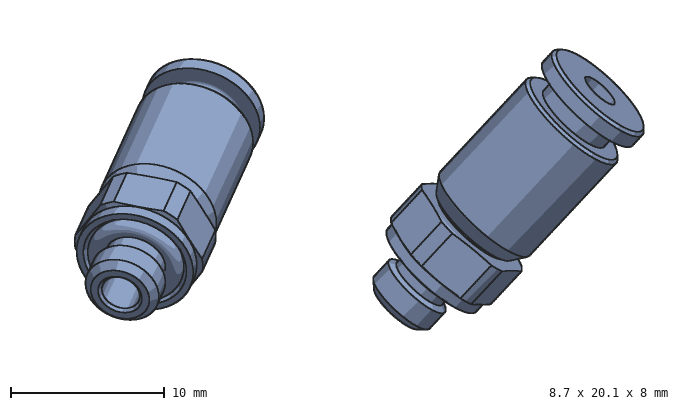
import cadquery as cq
import math

LENGTH = 20.1

THREAD_R = 2.5
TIP_CHAMFER = 0.5
THREAD_TOP = 2.0
NECK_R = 2.03
NECK_START = 2.25
BORE_R = 1.29
BORE_CHAMFER = 0.2

FLANGE_R = 3.95
FLANGE_START = 3.48
HEX_START = 4.3
HEX_END = 7.48
HEX_FLATS = 8.0
HEX_CORNER_R = 4.35
HEX_CORNER_CHAMFER = 0.06

SLEEVE_R = HEX_FLATS / 2
RELIEF_R = 3.0
SLEEVE_START = 7.7
SLEEVE_CONE_START_R = 3.34
SLEEVE_CONE_END = 8.65
SLEEVE_CONE_END_R = 3.95
SLEEVE_STRAIGHT_START = 8.75
SLEEVE_END = 17.5
RIM_CHAMFER = 0.22

COLLAR_NECK_R = 2.7
COLLAR_START = 18.9
COLLAR_FILLET = 0.28

RING_TUBE_R = 0.6
RING_PROTRUSION = 0.38
RING_CENTRE_R = NECK_R + RING_TUBE_R
RING_CENTRE_Y = FLANGE_START - RING_PROTRUSION + RING_TUBE_R
SEAT_MOUTH_R = 3.5
SEAT_HALF_ANGLE = math.radians(30)
SEAT_FLOOR_Y = RING_CENTRE_Y + RING_TUBE_R
SEAT_FLOOR_R = SEAT_MOUTH_R - (SEAT_FLOOR_Y - FLANGE_START) * math.tan(SEAT_HALF_ANGLE)


def revolve_about_y(profile):
    """Turn a closed (radius, height) profile about the Y axis."""
    return profile.close().revolve(360, (0, 0, 0), (0, 1, 0))


def turned_body():
    """Solid of all round stages, including the open O-ring seat."""
    fillet_mid_r = COLLAR_NECK_R + COLLAR_FILLET * (1 - math.sqrt(0.5))
    fillet_mid_y = COLLAR_START - COLLAR_FILLET * (1 - math.sqrt(0.5))
    profile = (
        cq.Workplane("XY")
        .moveTo(0, 0)
        .lineTo(THREAD_R - TIP_CHAMFER, 0)
        .lineTo(THREAD_R, TIP_CHAMFER)
        .lineTo(THREAD_R, THREAD_TOP)
        .lineTo(NECK_R, NECK_START)
        .lineTo(NECK_R, SEAT_FLOOR_Y)
        .lineTo(SEAT_FLOOR_R, SEAT_FLOOR_Y)
        .lineTo(SEAT_MOUTH_R, FLANGE_START)
        .lineTo(FLANGE_R, FLANGE_START)
        .lineTo(FLANGE_R, HEX_END)
        .lineTo(RELIEF_R, HEX_END)
        .lineTo(RELIEF_R, SLEEVE_START)
        .lineTo(SLEEVE_CONE_START_R, SLEEVE_START)
        .lineTo(SLEEVE_CONE_END_R, SLEEVE_CONE_END)
        .lineTo(SLEEVE_R, SLEEVE_STRAIGHT_START)
        .lineTo(SLEEVE_R, SLEEVE_END - RIM_CHAMFER)
        .lineTo(SLEEVE_R - RIM_CHAMFER, SLEEVE_END)
        .lineTo(COLLAR_NECK_R, SLEEVE_END)
        .lineTo(COLLAR_NECK_R, COLLAR_START - COLLAR_FILLET)
        .threePointArc(
            (fillet_mid_r, fillet_mid_y),
            (COLLAR_NECK_R + COLLAR_FILLET, COLLAR_START),
        )
        .lineTo(SLEEVE_R, COLLAR_START)
        .lineTo(SLEEVE_R, LENGTH - RIM_CHAMFER)
        .lineTo(SLEEVE_R - RIM_CHAMFER, LENGTH)
        .lineTo(0, LENGTH)
    )
    return revolve_about_y(profile)


def hexagon():
    """Ring-shaped hexagon with rounded corners and conical end chamfers."""
    prism = (
        cq.Workplane("XZ", origin=(0, HEX_END, 0))
        .polygon(6, HEX_FLATS / math.cos(math.pi / 6))
        .extrude(HEX_END - HEX_START)
    )
    envelope = (
        cq.Workplane("XY")
        .moveTo(RELIEF_R, HEX_START)
        .lineTo(FLANGE_R, HEX_START)
        .lineTo(HEX_CORNER_R, HEX_START + HEX_CORNER_CHAMFER)
        .lineTo(HEX_CORNER_R, HEX_END - HEX_CORNER_CHAMFER)
        .lineTo(FLANGE_R, HEX_END)
        .lineTo(RELIEF_R, HEX_END)
    )
    return prism.intersect(revolve_about_y(envelope))


def bore():
    """Through passage with a chamfered mouth at the threaded tip."""
    profile = (
        cq.Workplane("XY")
        .moveTo(0, 0)
        .lineTo(BORE_R + BORE_CHAMFER, 0)
        .lineTo(BORE_R, BORE_CHAMFER)
        .lineTo(BORE_R, LENGTH)
        .lineTo(0, LENGTH)
    )
    return revolve_about_y(profile)


def make_fitting():
    return turned_body().union(hexagon()).cut(bore())


def make_o_ring():
    return cq.Workplane(
        cq.Solid.makeTorus(
            RING_CENTRE_R, RING_TUBE_R, cq.Vector(0, RING_CENTRE_Y, 0), cq.Vector(0, 1, 0)
        )
    )


fitting = make_fitting()
o_ring = make_o_ring()

result = cq.Compound.makeCompound([fitting.solids().val(), o_ring.val()])